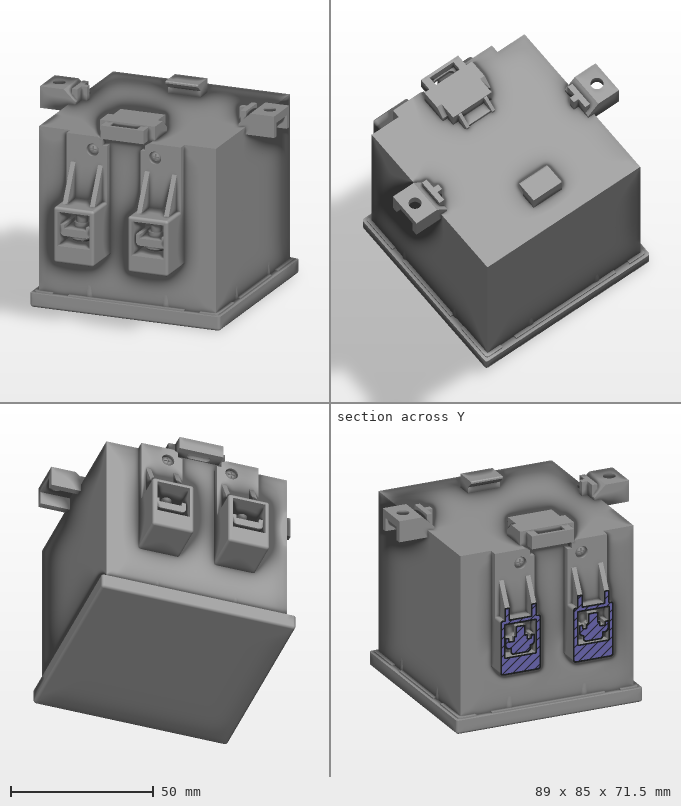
import cadquery as cq
BEZEL_SIDE = 72.1
BEZEL_HEIGHT = 5.25
BEZEL_ROUND = 1.0
LIP_SIDE = 69.8
LIP_HEIGHT = 0.5
LIP_GAP_WIDTH = 6.0
LIP_GAP_X = 24.9
LIP_GAP_Y = 16.9

CASE_SIDE = 67.1
CASE_TOP = 66.2
CASE_HALF = CASE_SIDE / 2
TOTAL_HEIGHT = 71.5

CRUSH_RIB_OFFSET = 14.5
CRUSH_RIB_TOP = 10.4
CRUSH_RIB_RADIUS = 2.7
CRUSH_RIB_PROUD = 0.4

LUG_REACH = 44.5
LUG_WIDTH = 13.6
LUG_BOTTOM = 63.55
LUG_INNER = 31.0
LUG_SLOPE_START = 35.4
LUG_SLOPE_END_Z = 67.2
LUG_SLOT_WIDTH = 9.3
LUG_SLOT_TOP = 68.5
LUG_HOLE_X = 40.0
LUG_HOLE_DIAMETER = 4.5
CLIP_OUTER = 33.0
CLIP_WIDTH = 10.2
CLIP_TAB_INNER = 28.9
CLIP_TAB_WIDTH = 2.3

HOOK_WIDTH = 12.4
HOOK_BACK_Y = 24.2
HOOK_NECK_Y = 18.1
HOOK_TIP_Y = 15.6
HOOK_NECK_TOP = 68.5
HOOK_TIP_BOTTOM = 70.7
HOOK_BEVEL_Y = 0.5
HOOK_BEVEL_Z = 0.3

LATCH_WIDTH = 16.9
LATCH_BACK_Y = -19.5
WING_WIDTH = 20.9
WING_BACK_Y = -22.8
WING_TOP_Y = -26.25
WING_SLOPE_Z = 68.2
PAWL_OUTER_WIDTH = 12.5
PAWL_THICKNESS = 1.25
PAWL_STEM_Y = -15.6
PAWL_TIP_Y = -14.5
PAWL_SLOPE_Y = -18.9
PAWL_TIP_BOTTOM = 67.4
PAWL_TIP_TOP = 68.3
PAWL_TOP = 71.1
TAB_TOP = 71.1
TAB_WIDTH = 16.3
TAB_FRONT_Y = -38.5
POCKET_WIDTH = 10.4
POCKET_FRONT_Y = -37.4
POCKET_FLOOR = 67.6
TAB_SLOT_LENGTH = 8.5
TAB_SLOT_WIDTH = 3.0

TERMINAL_X = -14.1
TERMINAL_WIDTH = 15.3
TERMINAL_BOTTOM = 22.1
TERMINAL_TOP = 42.5
TERMINAL_FRONT_Y = -48.95
TERMINAL_ROUND = 1.0
PLATE_FRONT_Y = -36.85
PLATE_NOTCH_WIDTH = 1.7
PLATE_NOTCH_BOTTOM = 63.2
PLATE_CHAMFER_X = 1.7
PLATE_CHAMFER_Z = 1.0
GUSSET_THICKNESS = 1.8
GUSSET_OFFSET = 5.2
GUSSET_TOP = 55.9
GUSSET_FRONT_Y = -44.3
COVER_SCREW_X = -11.8
COVER_SCREW_Z = 61.1
COVER_HOLE_RADIUS = 2.3
COVER_HOLE_DEPTH = 1.3
COVER_SCREW_RADIUS = 1.9
COVER_SCREW_RIM = 0.3
COVER_SCREW_DOME = 0.6
CROSS_LENGTH = 2.5
CROSS_WIDTH = 0.5
CROSS_DEPTH = 0.5

WINDOW_WIDTH = 12.0
WINDOW_BOTTOM = 28.4
WINDOW_TOP = 40.9
CLAMP_SHIFT = 0.3
CLAMP_WIDTH = 11.2
CLAMP_FRONT_Y = -46.7
CLAMP_BOTTOM = 31.6
CLAMP_FLOOR = 34.3
CLAMP_TOP = 35.7
CLAMP_WALL = 1.4
CLAMP_ROUND = 1.5
SCREW_Y = -40.9
SHANK_RADIUS = 2.0
SHANK_TOP = 39.6
COLLAR_RADIUS = 2.8
COLLAR_TOP = 35.9
SCREW_HEAD_RADIUS = 3.9
SCREW_HEAD_BOTTOM = 29.3
SCREW_HEAD_CHAMFER = 0.8


def box(x0, x1, y0, y1, z0, z1):
    """Block between opposite corners."""
    return cq.Workplane("XY").box(x1 - x0, y1 - y0, z1 - z0, centered=False).translate((x0, y0, z0))


def wide_box(width, y0, y1, z0, z1):
    """Block centred on X = 0."""
    return box(-width / 2, width / 2, y0, y1, z0, z1)


def side_profile(points, x0, x1):
    """Prism with a (Y, Z) outline, running along X from x0 to x1."""
    return cq.Workplane("YZ").workplane(offset=x0).polyline(points).close().extrude(x1 - x0)


def disc(x, y, radius, z0, z1):
    """Upright cylinder."""
    return cq.Workplane("XY").workplane(offset=z0).center(x, y).circle(radius).extrude(z1 - z0)


def both_sides(part):
    """The part together with its mirror image across X = 0."""
    return part.union(part.mirror("YZ"))


def make_bezel():
    """Bezel plate with the interrupted lip on its rear face."""
    half_lip = LIP_SIDE / 2
    lip_top = BEZEL_HEIGHT + LIP_HEIGHT
    bezel = cq.Workplane("XY").rect(BEZEL_SIDE, BEZEL_SIDE).extrude(BEZEL_HEIGHT)
    bezel = bezel.edges("|Z or <Z").fillet(BEZEL_ROUND)
    lip = wide_box(LIP_SIDE, -half_lip, half_lip, BEZEL_HEIGHT, lip_top)
    lip = lip.edges("|Z").fillet(BEZEL_ROUND)
    gap_along_y = box(-LIP_GAP_WIDTH / 2, LIP_GAP_WIDTH / 2, -half_lip, half_lip, BEZEL_HEIGHT, lip_top)
    gap_along_x = box(-half_lip, half_lip, -LIP_GAP_WIDTH / 2, LIP_GAP_WIDTH / 2, BEZEL_HEIGHT, lip_top)
    for side in (-1, 1):
        lip = lip.cut(gap_along_y.translate((side * LIP_GAP_X, 0, 0)))
        lip = lip.cut(gap_along_x.translate((0, side * LIP_GAP_Y, 0)))
    return bezel.union(lip)


def make_case():
    return wide_box(CASE_SIDE, -CASE_HALF, CASE_HALF, 0, CASE_TOP)


def make_crush_ribs():
    """Two ribs on each of the four case walls."""
    base_z = BEZEL_HEIGHT
    top_radius = CRUSH_RIB_RADIUS - CRUSH_RIB_PROUD
    axis_y = -CASE_HALF + top_radius
    ribs = cq.Workplane("XY")
    for quarter in range(4):
        for x in (-CRUSH_RIB_OFFSET, CRUSH_RIB_OFFSET):
            cone = cq.Solid.makeCone(
                CRUSH_RIB_RADIUS, top_radius, CRUSH_RIB_TOP - base_z, cq.Vector(x, axis_y, base_z)
            )
            ribs = ribs.add(cone.rotate(cq.Vector(0, 0, 0), cq.Vector(0, 0, 1), 90 * quarter))
    return ribs.combine()


def make_lug():
    """Mounting lug on the -X side with the spring clip at its inner end."""
    outline = [
        (-LUG_REACH, LUG_BOTTOM),
        (-LUG_REACH, TOTAL_HEIGHT),
        (-LUG_SLOPE_START, TOTAL_HEIGHT),
        (-LUG_INNER, LUG_SLOPE_END_Z),
        (-LUG_INNER, LUG_BOTTOM),
    ]
    lug = cq.Workplane("XZ").polyline(outline).close().extrude(LUG_WIDTH / 2, both=True)
    half_slot = LUG_SLOT_WIDTH / 2
    lug = lug.cut(box(-LUG_REACH, -CASE_HALF, -half_slot, half_slot, LUG_BOTTOM, LUG_SLOT_TOP))
    lug = lug.cut(disc(-LUG_HOLE_X, 0, LUG_HOLE_DIAMETER / 2, LUG_BOTTOM, TOTAL_HEIGHT))
    half_clip = CLIP_WIDTH / 2
    half_tab = CLIP_TAB_WIDTH / 2
    clip = box(-CLIP_OUTER, -LUG_INNER, -half_clip, half_clip, CASE_TOP, TOTAL_HEIGHT)
    tab = box(-LUG_INNER, -CLIP_TAB_INNER, -half_tab, half_tab, CASE_TOP, TOTAL_HEIGHT)
    return lug.union(clip).union(tab)


def make_rail_hook():
    outline = [
        (HOOK_BACK_Y, CASE_TOP),
        (HOOK_BACK_Y, TOTAL_HEIGHT),
        (HOOK_TIP_Y + HOOK_BEVEL_Y, TOTAL_HEIGHT),
        (HOOK_TIP_Y, TOTAL_HEIGHT - HOOK_BEVEL_Z),
        (HOOK_TIP_Y, HOOK_TIP_BOTTOM),
        (HOOK_NECK_Y, HOOK_NECK_TOP),
        (HOOK_NECK_Y, CASE_TOP),
    ]
    return side_profile(outline, -HOOK_WIDTH / 2, HOOK_WIDTH / 2)


def make_pawls():
    """Two snap pawls behind the latch, joined by a low web."""
    outline = [
        (LATCH_BACK_Y, CASE_TOP),
        (LATCH_BACK_Y, PAWL_TOP),
        (PAWL_SLOPE_Y, PAWL_TOP),
        (PAWL_TIP_Y, PAWL_TIP_TOP),
        (PAWL_TIP_Y, PAWL_TIP_BOTTOM),
        (PAWL_STEM_Y, PAWL_TIP_BOTTOM),
        (PAWL_STEM_Y, CASE_TOP),
    ]
    half_width = PAWL_OUTER_WIDTH / 2
    pawl = side_profile(outline, -half_width, -half_width + PAWL_THICKNESS)
    web = wide_box(PAWL_OUTER_WIDTH, LATCH_BACK_Y, PAWL_STEM_Y, CASE_TOP, PAWL_TIP_BOTTOM)
    return both_sides(pawl).union(web)


def make_latch():
    body = wide_box(LATCH_WIDTH, -CASE_HALF, LATCH_BACK_Y, CASE_TOP, TOTAL_HEIGHT)
    wing_outline = [
        (-CASE_HALF, CASE_TOP),
        (-CASE_HALF, TOTAL_HEIGHT),
        (WING_TOP_Y, TOTAL_HEIGHT),
        (WING_BACK_Y, WING_SLOPE_Z),
        (WING_BACK_Y, CASE_TOP),
    ]
    wings = side_profile(wing_outline, -WING_WIDTH / 2, WING_WIDTH / 2)
    tab = wide_box(TAB_WIDTH, TAB_FRONT_Y, -CASE_HALF, CASE_TOP, TAB_TOP)
    tab = tab.cut(wide_box(POCKET_WIDTH, POCKET_FRONT_Y, -CASE_HALF, POCKET_FLOOR, TAB_TOP))
    slot_y = (POCKET_FRONT_Y - CASE_HALF) / 2
    slot = cq.Workplane("XY").workplane(offset=CASE_TOP).center(0, slot_y)
    slot = slot.slot2D(TAB_SLOT_LENGTH, TAB_SLOT_WIDTH).extrude(TAB_TOP - CASE_TOP)
    return body.union(wings).union(tab.cut(slot)).union(make_pawls())


def make_terminal_plate():
    """Upright cover plate above the terminal box, stepped back beside the latch."""
    outer_x = TERMINAL_X - TERMINAL_WIDTH / 2
    inner_x = TERMINAL_X + TERMINAL_WIDTH / 2
    step_x = inner_x - PLATE_NOTCH_WIDTH
    outline = [
        (outer_x, WINDOW_TOP),
        (outer_x, CASE_TOP),
        (step_x - PLATE_CHAMFER_X, CASE_TOP),
        (step_x, CASE_TOP - PLATE_CHAMFER_Z),
        (step_x, PLATE_NOTCH_BOTTOM),
        (inner_x, PLATE_NOTCH_BOTTOM),
        (inner_x, WINDOW_TOP),
    ]
    plate = cq.Workplane("XZ", origin=(0, -CASE_HALF, 0)).polyline(outline).close()
    return plate.extrude(-CASE_HALF - PLATE_FRONT_Y)


def make_gussets():
    outline = [
        (PLATE_FRONT_Y, GUSSET_TOP),
        (GUSSET_FRONT_Y, TERMINAL_TOP),
        (PLATE_FRONT_Y, TERMINAL_TOP),
    ]
    gussets = cq.Workplane("XY")
    for x in (TERMINAL_X - GUSSET_OFFSET, TERMINAL_X + GUSSET_OFFSET):
        gussets = gussets.add(side_profile(outline, x - GUSSET_THICKNESS / 2, x + GUSSET_THICKNESS / 2))
    return gussets.combine()


def make_cover_screw():
    """Domed cross-head screw at the bottom of its hole, facing -Y."""
    rim_y = COVER_SCREW_RIM
    profile = cq.Workplane("XY").lineTo(COVER_SCREW_RADIUS, 0).lineTo(COVER_SCREW_RADIUS, rim_y)
    dome_radius = (COVER_SCREW_RADIUS**2 + COVER_SCREW_DOME**2) / (2 * COVER_SCREW_DOME)
    profile = profile.radiusArc((0, rim_y + COVER_SCREW_DOME), -dome_radius).close()
    screw = profile.revolve(360, (0, 0, 0), (0, 1, 0))
    screw_top = rim_y + COVER_SCREW_DOME
    for size_x, size_z in ((CROSS_LENGTH, CROSS_WIDTH), (CROSS_WIDTH, CROSS_LENGTH)):
        arm = cq.Workplane("XY").box(size_x, CROSS_DEPTH * 2, size_z)
        screw = screw.cut(arm.translate((0, screw_top, 0)))
    screw = screw.rotate((0, 0, 0), (1, 0, 0), 180)
    return screw.translate((COVER_SCREW_X, PLATE_FRONT_Y + COVER_HOLE_DEPTH, COVER_SCREW_Z))


def make_clamp():
    """Wire clamp: a U-shaped saddle running back to the cavity wall, with its clamping screw."""
    clamp_x = TERMINAL_X - CLAMP_SHIFT
    left = clamp_x - CLAMP_WIDTH / 2
    right = clamp_x + CLAMP_WIDTH / 2
    saddle = box(left, right, CLAMP_FRONT_Y, PLATE_FRONT_Y, CLAMP_BOTTOM, CLAMP_TOP)
    saddle = saddle.edges("|Y and <Z").fillet(CLAMP_ROUND)
    saddle = saddle.cut(
        box(left + CLAMP_WALL, right - CLAMP_WALL, CLAMP_FRONT_Y, PLATE_FRONT_Y, CLAMP_FLOOR, CLAMP_TOP)
    )
    shank = disc(TERMINAL_X, SCREW_Y, SHANK_RADIUS, CLAMP_FLOOR, SHANK_TOP)
    collar = disc(TERMINAL_X, SCREW_Y, COLLAR_RADIUS, CLAMP_FLOOR, COLLAR_TOP)
    head = disc(TERMINAL_X, SCREW_Y, SCREW_HEAD_RADIUS, SCREW_HEAD_BOTTOM, CLAMP_BOTTOM)
    head = head.faces("<Z").chamfer(SCREW_HEAD_CHAMFER)
    return saddle.union(shank).union(collar).union(head)


def make_terminal():
    """Complete terminal block on the -X half of the -Y wall."""
    half_width = TERMINAL_WIDTH / 2
    block = box(
        TERMINAL_X - half_width, TERMINAL_X + half_width,
        TERMINAL_FRONT_Y, -CASE_HALF, TERMINAL_BOTTOM, TERMINAL_TOP,
    )
    block = block.edges("|Y or <Y").fillet(TERMINAL_ROUND)
    block = block.union(make_terminal_plate()).union(make_gussets())
    half_window = WINDOW_WIDTH / 2
    block = block.cut(
        box(
            TERMINAL_X - half_window, TERMINAL_X + half_window,
            TERMINAL_FRONT_Y, PLATE_FRONT_Y, WINDOW_BOTTOM, WINDOW_TOP,
        )
    )
    hole = cq.Workplane("XZ", origin=(COVER_SCREW_X, PLATE_FRONT_Y + COVER_HOLE_DEPTH, COVER_SCREW_Z))
    hole = hole.circle(COVER_HOLE_RADIUS).extrude(COVER_HOLE_DEPTH)
    return block.cut(hole).union(make_cover_screw()).union(make_clamp())


result = make_bezel().union(make_case()).union(make_crush_ribs())
result = result.union(both_sides(make_lug()))
result = result.union(make_rail_hook()).union(make_latch())
result = result.union(both_sides(make_terminal()))